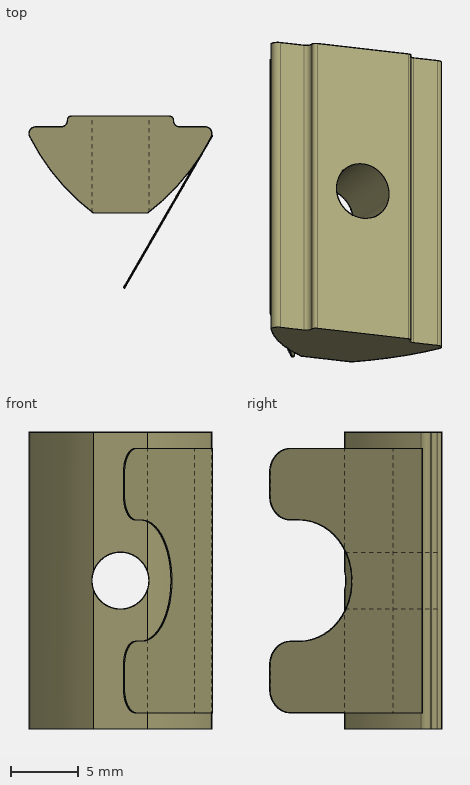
import cadquery as cq
import math

length = 22.0
half_width = 6.78
depth = 7.2
nose_half_width = 2.0
rib_half_width = 3.94
rib_height = 0.8
flank_middle = (4.66, -4.66)
ear_radius = 0.5
flank_end_angle = 30.0
rib_edge_radius = 0.3
rib_root_radius = 0.45
bore_diameter = 4.2

spring_angle = 60.0
spring_root = (6.82, -1.47)
spring_length = 13.02
spring_thickness = 0.1
spring_height = 19.58
spring_corner_radius = 1.75
notch_radius = 4.49
notch_center_inset = 2.53


def mirrored(point):
    return (-point[0], point[1])


def ear_point(angle):
    """Point on the +X ear rounding, at an angle in degrees from the +X direction."""
    turn = math.radians(angle)
    center_x = half_width - ear_radius
    center_y = -rib_height - ear_radius
    return (center_x + ear_radius * math.cos(turn), center_y + ear_radius * math.sin(turn))


def make_body():
    flank_start = ear_point(-flank_end_angle)
    ear_middle = ear_point(0)
    ear_corner = ear_point(90)
    profile = (
        cq.Workplane("XY")
        .moveTo(-nose_half_width, -depth)
        .lineTo(nose_half_width, -depth)
        .threePointArc(flank_middle, flank_start)
        .threePointArc(ear_middle, ear_corner)
        .lineTo(rib_half_width, -rib_height)
        .lineTo(rib_half_width, 0)
        .lineTo(-rib_half_width, 0)
        .lineTo(-rib_half_width, -rib_height)
        .lineTo(*mirrored(ear_corner))
        .threePointArc(mirrored(ear_middle), mirrored(flank_start))
        .threePointArc(mirrored(flank_middle), (-nose_half_width, -depth))
        .close()
    )
    body = profile.extrude(length / 2, both=True)
    for side in (-1, 1):
        rib_edge = cq.selectors.NearestToPointSelector((side * rib_half_width, 0, 0))
        body = body.edges(rib_edge).fillet(rib_edge_radius)
        rib_root = cq.selectors.NearestToPointSelector((side * rib_half_width, -rib_height, 0))
        body = body.edges(rib_root).fillet(rib_root_radius)
    bore = cq.Workplane("XZ").circle(bore_diameter / 2).extrude(depth)
    return body.cut(bore)


def make_spring():
    lean = math.radians(spring_angle)
    along = (-math.cos(lean), -math.sin(lean), 0)
    outward = (math.sin(lean), -math.cos(lean), 0)
    inward = (-outward[0], -outward[1], 0)
    plane = cq.Plane(origin=(*spring_root, 0), xDir=along, normal=inward)
    sheet = (
        cq.Workplane(plane)
        .center(spring_length / 2, 0)
        .rect(spring_length, spring_height)
        .extrude(spring_thickness)
    )
    notch_center = spring_length - notch_center_inset
    notch = (
        cq.Workplane(plane)
        .moveTo(spring_length, -notch_radius)
        .lineTo(notch_center, -notch_radius)
        .threePointArc((notch_center - notch_radius, 0), (notch_center, notch_radius))
        .lineTo(spring_length, notch_radius)
        .close()
        .extrude(spring_thickness)
    )
    sheet = sheet.cut(notch)
    for corner_height in (spring_height / 2, notch_radius):
        for side in (-1, 1):
            corner = plane.toWorldCoords((spring_length, side * corner_height, spring_thickness / 2))
            tab_corner = cq.selectors.NearestToPointSelector(corner.toTuple())
            sheet = sheet.edges(tab_corner).fillet(spring_corner_radius)
    return sheet


result = make_body().union(make_spring())